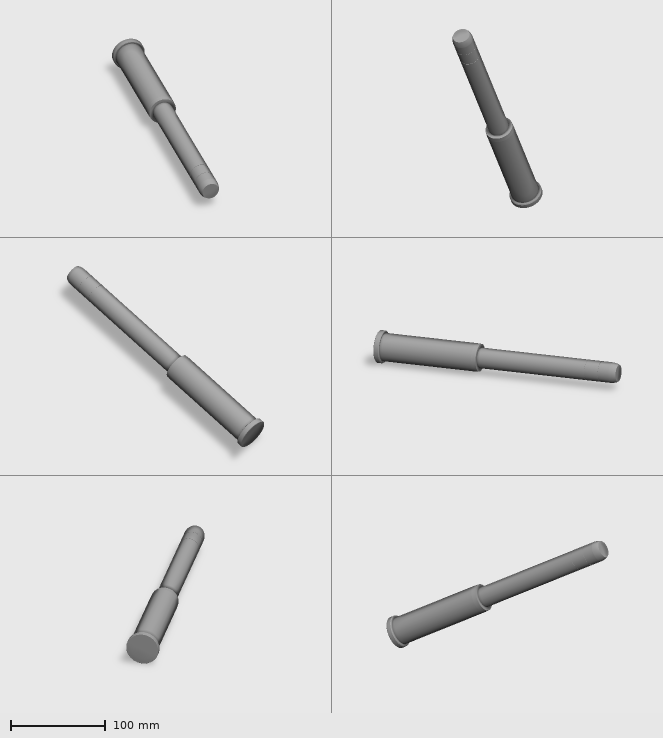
import cadquery as cq

total_length = 271.0
head_diameter = 35.0
sleeve_diameter = 30.0
shaft_diameter = 22.0

head_length = 6.0
head_chamfer = 0.8
face_chamfer = 0.4
undercut_width = 0.8
undercut_depth = 0.3

sleeve_end = 114.5
lead_length = 5.1
lead_reduction = 0.3

neck_width = 0.8
neck_depth = 0.3

groove_starts = (236.0, 251.5)
groove_width = 0.8
groove_depth = 0.3

nose_length = 7.3
nose_drop = 2.0


def stepped_body():
    """Revolve the half outline of the pin, its head face starting at X = 0."""
    head_radius = head_diameter / 2
    sleeve_radius = sleeve_diameter / 2
    shaft_radius = shaft_diameter / 2
    lead_radius = sleeve_radius - lead_reduction
    nose_start = total_length - nose_length
    outline = (
        cq.Workplane("XY")
        .lineTo(0, head_radius - face_chamfer)
        .lineTo(face_chamfer, head_radius)
        .lineTo(head_length - head_chamfer, head_radius)
        .lineTo(head_length, head_radius - head_chamfer)
        .lineTo(head_length, sleeve_radius)
        .lineTo(sleeve_end - lead_length, sleeve_radius)
        .lineTo(sleeve_end, lead_radius)
        .lineTo(sleeve_end, shaft_radius)
        .lineTo(nose_start, shaft_radius)
        .tangentArcPoint((total_length, shaft_radius - nose_drop), relative=False)
        .lineTo(total_length, 0)
        .close()
    )
    return outline.revolve(360, (0, 0, 0), (1, 0, 0))


def ring(start, width, outer_diameter, depth):
    """Ring to cut a groove of the given depth into a cylinder."""
    return (
        cq.Workplane("YZ", origin=(start, 0, 0))
        .circle(outer_diameter / 2)
        .circle(outer_diameter / 2 - depth)
        .extrude(width)
    )


body = stepped_body()
body = body.cut(ring(head_length, undercut_width, sleeve_diameter, undercut_depth))
body = body.cut(ring(sleeve_end, neck_width, shaft_diameter, neck_depth))
for groove_start in groove_starts:
    body = body.cut(ring(groove_start, groove_width, shaft_diameter, groove_depth))

result = body.translate((-total_length / 2, 0, 0))